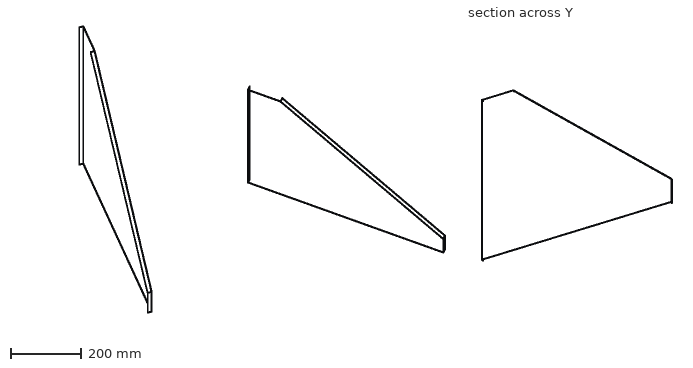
import cadquery as cq

width = 600.0
height = 584.5
flange_depth = 12.5
sheet = 1.0
top_edge = 100.0

right_edge = height - (width - top_edge)

outline = [
    (0, 0),
    (width, 0),
    (width, right_edge),
    (top_edge, height),
    (0, height),
]


def extrude_rearward(points, front, rear):
    """Prism of an XZ outline between two Y positions."""
    plane = cq.Workplane("XZ", origin=(0, rear, 0))
    return plane.polyline(points).close().extrude(rear - front)


web = extrude_rearward(outline, flange_depth - sheet, flange_depth)

left_flange = cq.Workplane("XY").box(sheet, flange_depth, height, centered=False)
right_flange = (
    cq.Workplane("XY", origin=(width - sheet, 0, 0))
    .box(sheet, flange_depth, right_edge, centered=False)
)

slope_drop = sheet * 2**0.5
slope_outline = [
    (top_edge, height),
    (width, right_edge),
    (width, right_edge - slope_drop),
    (top_edge, height - slope_drop),
]
slope_flange = extrude_rearward(slope_outline, 0, flange_depth)

result = web.union(left_flange).union(right_flange).union(slope_flange).clean()